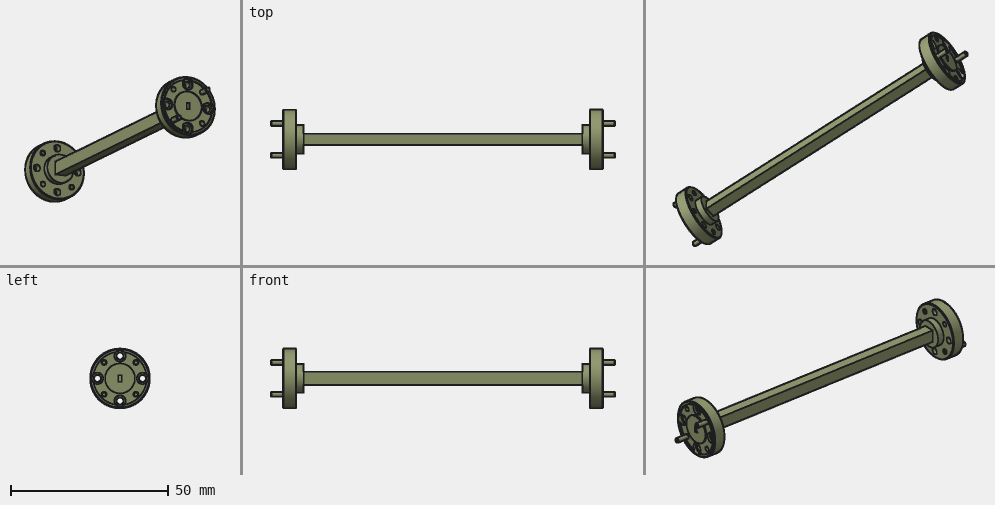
import cadquery as cq
import math

OVERALL_LENGTH = 109.4
FLANGE_DIAMETER = 19.0

FLANGE_THICKNESS = 4.3
PIN_PROTRUSION = 3.8
EDGE_CHAMFER = 0.27
RIM_INNER_DIAMETER = 17.0
FACE_BOSS_DIAMETER = 9.5
FACE_GROOVE_DEPTH = 0.4

COLLAR_DIAMETER = 9.2
COLLAR_LENGTH = 2.3
TUBE_WIDTH = 3.6
TUBE_HEIGHT = 4.3

APERTURE_WIDTH = 1.04
APERTURE_HEIGHT = 2.1
APERTURE_DEPTH = 0.4

PITCH_DIAMETER = 14.3
SCREW_HOLE_DIAMETER = 2.2
COUNTERBORE_DIAMETER = 3.6
COUNTERBORE_DEPTH = 1.3
PIN_DIAMETER = 1.6
PIN_CHAMFER = 0.2

PIN_TIP_X = OVERALL_LENGTH / 2
FACE_X = PIN_TIP_X - PIN_PROTRUSION
FLANGE_BACK_X = FACE_X - FLANGE_THICKNESS
COLLAR_BACK_X = FLANGE_BACK_X - COLLAR_LENGTH

SCREW_ANGLES = (0, 90, 180, 270)
ALIGNMENT_ANGLES = (45, 135, 225, 315)
PIN_ANGLES = (45, 225)


def rod(diameter, start_x, end_x):
    """Cylinder on the X axis between two places."""
    return cq.Workplane("YZ", origin=(start_x, 0, 0)).circle(diameter / 2).extrude(end_x - start_x)


def bar(width, height, start_x, end_x):
    """Rectangular bar on the X axis between two places."""
    return cq.Workplane("YZ", origin=(start_x, 0, 0)).rect(width, height).extrude(end_x - start_x)


def on_pitch_circle(shape, angle):
    """Move a shape from the X axis to the pitch circle, at an angle from +Y towards +Z."""
    radius = PITCH_DIAMETER / 2
    turn = math.radians(angle)
    return shape.translate((0, radius * math.cos(turn), radius * math.sin(turn)))


def turned_to_other_end(shape):
    """Half turn about the Z axis, from the +X end to the -X end."""
    return shape.rotate((0, 0, 0), (0, 0, 1), 180)


def make_flange():
    """Flange of the +X end with its collar, mating face and holes."""
    flange = rod(FLANGE_DIAMETER, FLANGE_BACK_X, FACE_X).edges().chamfer(EDGE_CHAMFER)
    flange = flange.union(rod(COLLAR_DIAMETER, COLLAR_BACK_X, FLANGE_BACK_X))

    groove_x = FACE_X - FACE_GROOVE_DEPTH
    groove = rod(RIM_INNER_DIAMETER, groove_x, FACE_X).cut(rod(FACE_BOSS_DIAMETER, groove_x, FACE_X))
    flange = flange.cut(groove)

    flange = flange.cut(bar(APERTURE_WIDTH, APERTURE_HEIGHT, FACE_X - APERTURE_DEPTH, FACE_X))

    screw_hole = rod(SCREW_HOLE_DIAMETER, FLANGE_BACK_X, FACE_X)
    screw_hole = screw_hole.union(rod(COUNTERBORE_DIAMETER, FACE_X - COUNTERBORE_DEPTH, FACE_X))
    for angle in SCREW_ANGLES:
        flange = flange.cut(on_pitch_circle(screw_hole, angle))

    alignment_hole = rod(PIN_DIAMETER, FLANGE_BACK_X, FACE_X)
    for angle in ALIGNMENT_ANGLES:
        flange = flange.cut(on_pitch_circle(alignment_hole, angle))
    return flange


def make_waveguide():
    """Solid rectangular tube with a flange on each end."""
    tube = bar(TUBE_WIDTH, TUBE_HEIGHT, -COLLAR_BACK_X, COLLAR_BACK_X)
    flange = make_flange()
    return tube.union(flange).union(turned_to_other_end(flange))


def make_pin(angle):
    """Alignment pin of the +X end with chamfered ends, flush with the back of the flange."""
    pin = rod(PIN_DIAMETER, FLANGE_BACK_X, PIN_TIP_X).faces("<X or >X").chamfer(PIN_CHAMFER)
    return on_pitch_circle(pin, angle)


waveguide = make_waveguide()

pins = []
for pin_angle in PIN_ANGLES:
    pin = make_pin(pin_angle)
    pins.append(pin)
    pins.append(turned_to_other_end(pin))

result = cq.Compound.makeCompound([waveguide.val(), *[pin.val() for pin in pins]])